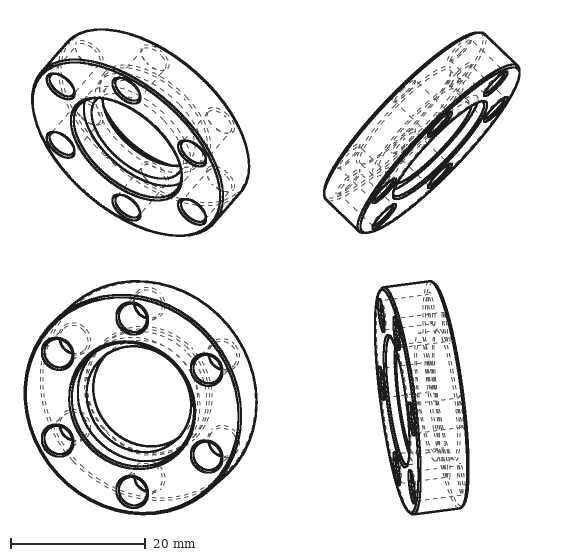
import cadquery as cq

outer_diameter = 34.0
thickness = 7.6
bore_diameter = 16.4
recess_diameter = 19.18
front_recess_depth = 3.0
back_recess_depth = 1.6
edge_chamfer = 0.3

hole_count = 6
hole_diameter = 4.4
bolt_circle_diameter = 27.0
first_hole_angle = 90

front_y = -thickness / 2
back_y = thickness / 2


def cylinder_along_y(diameter, start_y, length):
    """Cylinder on the Y axis, running from start_y toward +Y."""
    plane = cq.Workplane("XZ", origin=(0, start_y, 0))
    return plane.circle(diameter / 2).extrude(-length)


def mouth_cutter(diameter):
    """Cone that chamfers the mouth of a hole in the front face."""
    cone = cq.Solid.makeCone(
        diameter / 2 + edge_chamfer,
        diameter / 2,
        edge_chamfer,
        pnt=cq.Vector(0, front_y, 0),
        dir=cq.Vector(0, 1, 0),
    )
    return cq.Workplane(obj=cone)


body = cylinder_along_y(outer_diameter, front_y, thickness).edges().chamfer(edge_chamfer)

recess_mouth = mouth_cutter(recess_diameter)
body = body.cut(cylinder_along_y(bore_diameter, front_y, thickness))
body = body.cut(cylinder_along_y(recess_diameter, front_y, front_recess_depth))
body = body.cut(cylinder_along_y(recess_diameter, back_y - back_recess_depth, back_recess_depth))
body = body.cut(recess_mouth)
body = body.cut(recess_mouth.mirror("XZ"))

hole = cylinder_along_y(hole_diameter, front_y, thickness)
hole_mouth = mouth_cutter(hole_diameter)
hole = hole.union(hole_mouth).union(hole_mouth.mirror("XZ"))
hole = hole.translate((bolt_circle_diameter / 2, 0, 0))
for index in range(hole_count):
    angle = first_hole_angle + index * 360 / hole_count
    body = body.cut(hole.rotate((0, 0, 0), (0, 1, 0), angle))

result = body